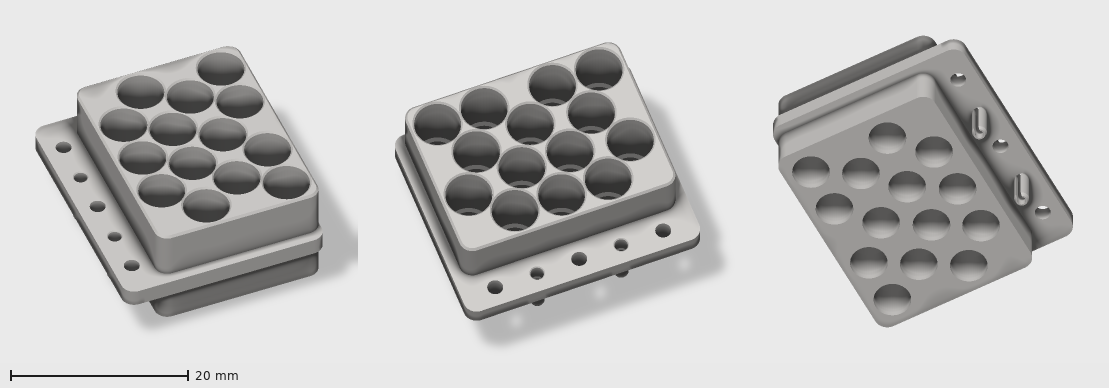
import cadquery as cq
import math

block_width = 25.97
block_depth = 19.84
block_height = 12.76
block_corner_radius = 1.52
block_top_chamfer = 0.25

flange_width = 28.45
flange_depth = 24.38
flange_bottom = 4.8
flange_thickness = 2.1
flange_corner_radius = 1.52
flange_top = flange_bottom + flange_thickness

well_diameter = 5.3
well_mouth_chamfer = 0.2
bore_diameter = 4.25
well_floor = flange_bottom
well_pitch = 5.64
well_row_pitch = well_pitch * math.sin(math.radians(60))
side_column_x = 9.77
back_row_y = -3.08
center_well_y = -6.84
inner_pair_x = 2.92

pin_row_y = -22.1
pin_pitch = 5.08
pin_hole_diameter = 1.8

pin_shaft_diameter = 1.7
pin_tip = 0.45
pin_tip_chamfer_height = 0.4
pin_tip_chamfer_width = 0.18
pin_bore_diameter = 0.96
pin_cup_diameter = 1.52
pin_cup_chamfer = 0.12
pin_cup_floor = flange_bottom
pin_slot_width = 0.6


def rounded_plate(width, depth, bottom, height, corner_radius):
    """Plate with rounded upright edges, centred in X, back face on Y = 0."""
    plate = cq.Workplane("XY", origin=(0, -depth / 2, bottom)).rect(width, depth).extrude(height)
    return plate.edges("|Z").fillet(corner_radius)


def well_centers():
    """Two four-well clusters on the sides and a six-well triangle between them."""
    centers = []
    for side in (-1, 1):
        centers += [
            (side * side_column_x, back_row_y),
            (side * (side_column_x - well_pitch), back_row_y),
            (side * (side_column_x - well_pitch / 2), back_row_y - well_row_pitch),
            (side * side_column_x, back_row_y - 2 * well_row_pitch),
            (side * inner_pair_x, center_well_y - well_row_pitch),
            (side * well_pitch, center_well_y - 2 * well_row_pitch),
        ]
    return centers + [(0, center_well_y), (0, center_well_y - 2 * well_row_pitch)]


def well_cutter():
    """Through bore, socket and chamfered mouth as one turned shape about Z."""
    bore_radius = bore_diameter / 2
    well_radius = well_diameter / 2
    mouth_radius = well_radius + well_mouth_chamfer
    profile = (
        cq.Workplane("XZ")
        .polyline([(0, 0), (bore_radius, 0), (bore_radius, well_floor), (well_radius, well_floor)])
        .lineTo(well_radius, block_height - well_mouth_chamfer)
        .lineTo(mouth_radius, block_height)
        .lineTo(0, block_height)
        .close()
    )
    return profile.revolve(360, (0, 0, 0), (0, 1, 0))


def make_housing():
    block = rounded_plate(block_width, block_depth, 0, block_height, block_corner_radius)
    block = block.faces(">Z").edges().chamfer(block_top_chamfer)
    flange = rounded_plate(flange_width, flange_depth, flange_bottom, flange_thickness, flange_corner_radius)
    housing = block.union(flange)
    cutter = well_cutter()
    for x, y in well_centers():
        housing = housing.cut(cutter.translate((x, y, 0)))
    pin_holes = (
        cq.Workplane("XY", origin=(0, pin_row_y, flange_bottom))
        .pushPoints([(i * pin_pitch, 0) for i in range(-2, 3)])
        .circle(pin_hole_diameter / 2)
        .extrude(flange_thickness)
    )
    return housing.cut(pin_holes)


def make_pin(x):
    head_radius = pin_hole_diameter / 2
    shaft_radius = pin_shaft_diameter / 2
    bore_radius = pin_bore_diameter / 2
    cup_radius = pin_cup_diameter / 2
    tube = (
        cq.Workplane("YZ")
        .polyline(
            [
                (-bore_radius, pin_tip),
                (-shaft_radius + pin_tip_chamfer_width, pin_tip),
                (-shaft_radius, pin_tip + pin_tip_chamfer_height),
                (-shaft_radius, flange_bottom),
                (-head_radius, flange_bottom),
                (-head_radius, flange_top),
                (-cup_radius - pin_cup_chamfer, flange_top),
                (-cup_radius, flange_top - pin_cup_chamfer),
                (-cup_radius, pin_cup_floor),
                (-bore_radius, pin_cup_floor),
            ]
        )
        .close()
        .revolve(360, (0, 0, 0), (0, 1, 0))
    )
    slot = (
        cq.Workplane("XY", origin=(-shaft_radius, 0, 0))
        .box(shaft_radius, pin_slot_width, pin_cup_floor, centered=(False, True, False))
    )
    return tube.cut(slot).translate((x, pin_row_y, 0))


housing = make_housing()
pins = [make_pin(x) for x in (-pin_pitch, pin_pitch)]

result = cq.Compound.makeCompound([housing.val(), *[pin.val() for pin in pins]])